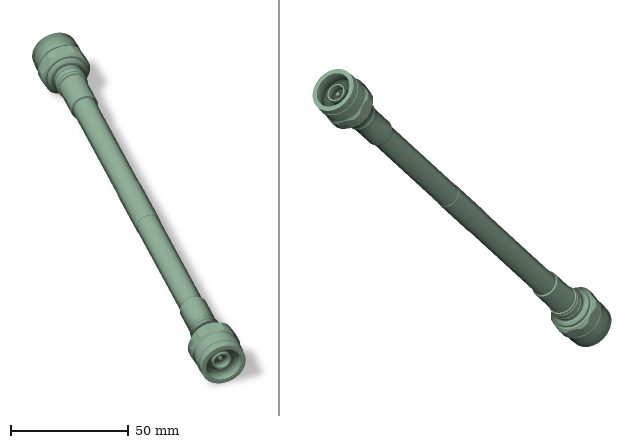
import cadquery as cq
import math

total_length = 229.6
half_length = total_length / 2

cable_radius = 5.3

label_length = 25.4
label_radius = 5.5

sleeve_start = 25.4
sleeve_end = 41.2
sleeve_radius = 6.1

rim_end = 3.6
rim_radius = 9.95
barrel_end = 9.5
barrel_radius = 10.2
nut_end = 17.1
nut_across_flats = 20.57
nut_corner_diameter = 21.98
nut_chamfer_length = 1.5
nut_chamfer_depth = 1.2

collar_radius = 8.9
collar_straight_end = 18.4
collar_end = 19.1
collar_small_radius = 8.0

ferrule_radius = 6.7
groove_starts = (20.9, 23.8)
groove_width = 0.7
groove_depth = 0.3

socket_radius = 7.9
socket_depth = 6.5
socket_floor_radius = 7.4
socket_taper_length = 0.5
socket_taper_start = socket_depth - socket_taper_length
contact_tube_radius = 4.1
contact_tube_bore_radius = 3.5
contact_tube_recess = 2.5
pin_radius = 0.8
pin_recess = 4.0


def cylinder(radius, start, end):
    """Solid cylinder on the X axis between two X stations."""
    return cq.Workplane("YZ", origin=(start, 0, 0)).circle(radius).extrude(end - start)


def ring(outer_radius, inner_radius, start, end):
    """Hollow cylinder on the X axis between two X stations."""
    return cylinder(outer_radius, start, end).cut(cylinder(inner_radius, start, end))


def hex_nut():
    """Hexagon with flats facing +Z and -Z, its corners turned down and its ends chamfered."""
    corner_radius = nut_corner_diameter / 2
    end_radius = corner_radius - nut_chamfer_depth
    hexagon = (
        cq.Workplane("YZ", origin=(barrel_end, 0, 0))
        .polygon(6, nut_across_flats / math.cos(math.pi / 6))
        .extrude(nut_end - barrel_end)
    )
    envelope = (
        cq.Workplane("XY")
        .moveTo(barrel_end, 0)
        .lineTo(barrel_end, end_radius)
        .lineTo(barrel_end + nut_chamfer_length, corner_radius)
        .lineTo(nut_end - nut_chamfer_length, corner_radius)
        .lineTo(nut_end, end_radius)
        .lineTo(nut_end, 0)
        .close()
        .revolve(360, (0, 0, 0), (1, 0, 0))
    )
    return hexagon.intersect(envelope)


def turned_body():
    """Revolved outside of the connector: rim, barrel, collar and ferrule."""
    return (
        cq.Workplane("XY")
        .lineTo(0, rim_radius)
        .lineTo(rim_end, rim_radius)
        .lineTo(rim_end, barrel_radius)
        .lineTo(barrel_end, barrel_radius)
        .lineTo(barrel_end, collar_radius)
        .lineTo(collar_straight_end, collar_radius)
        .lineTo(collar_end, collar_small_radius)
        .lineTo(collar_end, ferrule_radius)
        .lineTo(sleeve_start, ferrule_radius)
        .lineTo(sleeve_start, 0)
        .close()
        .revolve(360, (0, 0, 0), (1, 0, 0))
    )


def ferrule_grooves():
    """Rings of material removed from the outside of the ferrule."""
    rings = cq.Workplane("XY")
    for start in groove_starts:
        end = start + groove_width
        rings = rings.add(ring(ferrule_radius, ferrule_radius - groove_depth, start, end))
    return rings.combine()


def socket_bore():
    """Round bore from the mating face that narrows slightly just before its floor."""
    return (
        cq.Workplane("XY")
        .lineTo(0, socket_radius)
        .lineTo(socket_taper_start, socket_radius)
        .lineTo(socket_depth, socket_floor_radius)
        .lineTo(socket_depth, 0)
        .close()
        .revolve(360, (0, 0, 0), (1, 0, 0))
    )


def socket():
    """Material removed from the mating face, leaving the contact tube and pin standing."""
    tube = cylinder(contact_tube_radius, contact_tube_recess, socket_depth)
    tube_bore = cylinder(contact_tube_bore_radius, 0, socket_depth)
    pin = cylinder(pin_radius, pin_recess, socket_depth)
    return socket_bore().cut(tube).union(tube_bore).cut(pin)


def connector():
    """Connector with its mating face at the -X end of the assembly."""
    body = turned_body().union(hex_nut()).cut(ferrule_grooves()).cut(socket())
    return body.translate((-half_length, 0, 0))


def sleeve():
    """Tube over the cable behind the -X connector."""
    tube = ring(sleeve_radius, cable_radius, sleeve_start, sleeve_end)
    return tube.translate((-half_length, 0, 0))


def label():
    """Thin band around the middle of the cable."""
    half_label = label_length / 2
    return ring(label_radius, cable_radius, -half_label, half_label)


def cable():
    """Straight cable between the backs of the two connectors."""
    half_cable = half_length - sleeve_start
    return cylinder(cable_radius, -half_cable, half_cable)


bodies = [cable().val(), label().val()]
for end_part in (connector(), sleeve()):
    bodies.append(end_part.val())
    bodies.append(end_part.mirror("YZ").val())

result = cq.Compound.makeCompound(bodies)